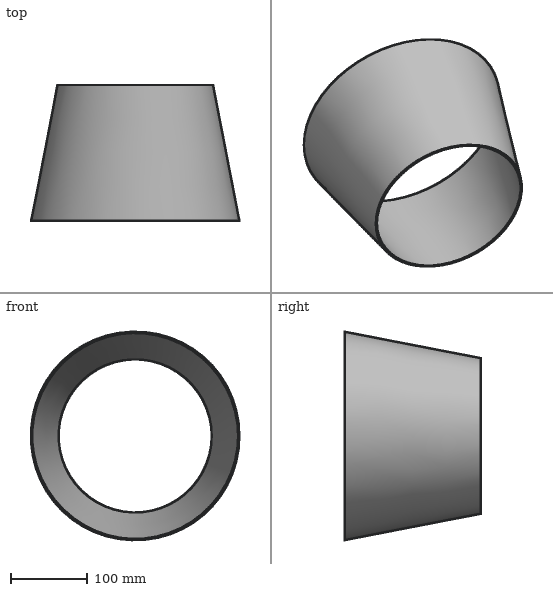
import cadquery as cq

large_diameter = 273.0
small_diameter = 204.0
length = 178.0
wall = 2.0

large_radius = large_diameter / 2
small_radius = small_diameter / 2

wall_section = [
    (large_radius - wall, 0),
    (large_radius, 0),
    (small_radius, length),
    (small_radius - wall, length),
]

result = (
    cq.Workplane("XY")
    .polyline(wall_section)
    .close()
    .revolve(360, (0, 0, 0), (0, 1, 0))
)